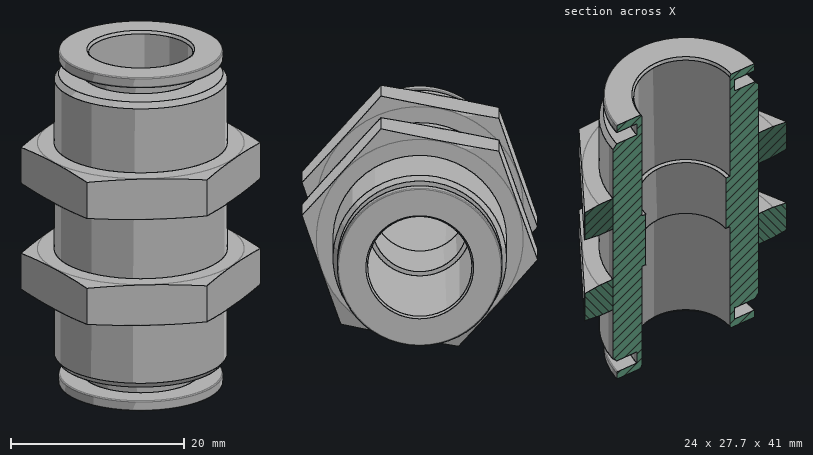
import cadquery as cq

length = 41.0
half_length = length / 2

barrel_diameter = 20.0
barrel_end_diameter = 19.0
barrel_chamfer_height = 0.65

collar_diameter = 19.0
collar_thickness = 1.25
collar_edge_radius = 0.12
neck_diameter = 13.5
neck_length = 1.72

bore_diameter = 11.0
socket_diameter = 12.0
socket_depth = 16.4
socket_mouth_width = 0.2
socket_mouth_depth = 0.35

nut_across_corners = 27.7
nut_height = 5.0
nut_center_offset = 6.5
nut_face_diameter = 23.85
nut_corner_drop = 0.3


def make_cylinder(diameter, bottom, top):
    return cq.Workplane("XY").workplane(offset=bottom).circle(diameter / 2).extrude(top - bottom)


def make_barrel():
    """Barrel between the two necks, with a cone at each end."""
    half_barrel = half_length - collar_thickness - neck_length
    barrel = make_cylinder(barrel_diameter, -half_barrel, half_barrel)
    chamfer_width = (barrel_diameter - barrel_end_diameter) / 2
    barrel = barrel.faces(">Z").chamfer(barrel_chamfer_height, chamfer_width)
    return barrel.faces("<Z").chamfer(barrel_chamfer_height, chamfer_width)


def make_collar():
    """Top collar disc with rounded rims."""
    collar = make_cylinder(collar_diameter, half_length - collar_thickness, half_length)
    return collar.edges("%CIRCLE").fillet(collar_edge_radius)


def make_socket():
    """Cutter for the top tube socket and its chamfered mouth."""
    socket = make_cylinder(socket_diameter, half_length - socket_depth, half_length)
    socket_radius = socket_diameter / 2
    mouth = cq.Workplane(
        cq.Solid.makeCone(
            socket_radius,
            socket_radius + socket_mouth_width,
            socket_mouth_depth,
            pnt=cq.Vector(0, 0, half_length - socket_mouth_depth),
        )
    )
    return socket.union(mouth)


def make_housing():
    neck = make_cylinder(neck_diameter, -half_length + collar_thickness, half_length - collar_thickness)
    collar = make_collar()
    socket = make_socket()
    housing = make_barrel().union(neck).union(collar).union(collar.mirror("XY"))
    housing = housing.cut(make_cylinder(bore_diameter, -half_length, half_length))
    return housing.cut(socket).cut(socket.mirror("XY"))


def make_nut(center_height):
    """Hexagonal nut with corners on the Y axis, trimmed by a shallow cone on both faces."""
    half_height = nut_height / 2
    face_radius = nut_face_diameter / 2
    corner_radius = nut_across_corners / 2
    hexagon = (
        cq.Workplane("XY")
        .workplane(offset=-half_height)
        .transformed(rotate=(0, 0, 90))
        .polygon(6, nut_across_corners)
        .extrude(nut_height)
    )
    corner_trim = (
        cq.Workplane("XZ")
        .moveTo(0, -half_height)
        .lineTo(face_radius, -half_height)
        .lineTo(corner_radius, -half_height + nut_corner_drop)
        .lineTo(corner_radius, half_height - nut_corner_drop)
        .lineTo(face_radius, half_height)
        .lineTo(0, half_height)
        .close()
        .revolve(360, (0, 0, 0), (0, 1, 0))
    )
    nut = hexagon.intersect(corner_trim).cut(make_cylinder(barrel_diameter, -half_height, half_height))
    return nut.translate((0, 0, center_height))


housing = make_housing()
nuts = [make_nut(side * nut_center_offset) for side in (-1, 1)]

result = cq.Compound.makeCompound([housing.val(), *[nut.val() for nut in nuts]])